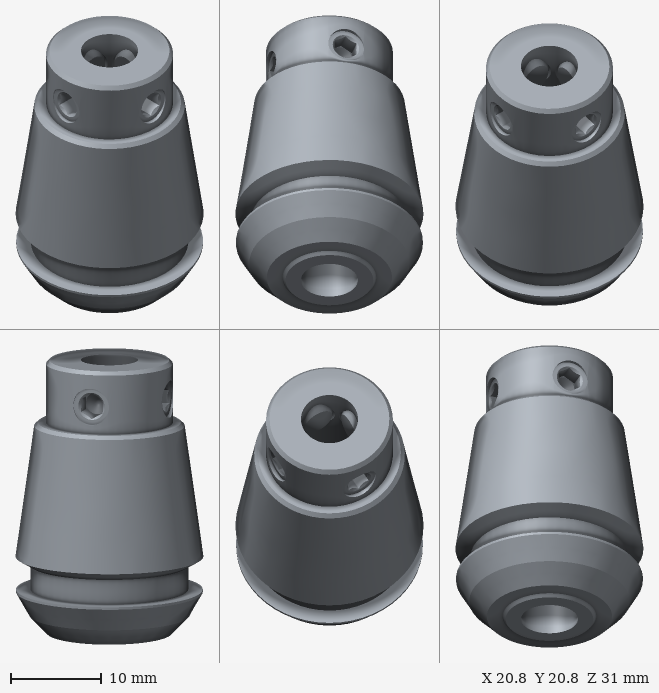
import cadquery as cq
import math

height = 31.0
nose_height = 0.35
lower_bevel_top = 2.32
rim_bottom = 4.93
rim_top = 5.2
undercut_bottom = 7.97
skirt_bottom = 8.93
shoulder_level = 24.0

nose_base_diameter = 9.67
nose_root_diameter = 10.35
base_diameter = 13.83
bevel_diameter = 17.67
rim_diameter = 20.6
groove_diameter = 17.4
skirt_diameter = 20.75
shoulder_diameter = 16.62
neck_diameter = 14.0
bore_diameter = 6.3

shoulder_chamfer_width = 0.43
shoulder_chamfer_height = 0.37
neck_chamfer = 0.4

screw_count = 4
screw_level = 27.0
screw_hole_diameter = 4.12
screw_diameter = 5.0
screw_face_radius = 6.57
screw_tip_radius = 2.48
screw_tip_diameter = 3.5

socket_flats = 2.5
socket_mouth_diameter = 3.05
socket_depth = 2.0
socket_cone_height = 0.7


def turned_body():
    """Solid of revolution carrying every outer step, groove and bevel."""
    outline = [
        (0, 0),
        (nose_base_diameter / 2, 0),
        (nose_root_diameter / 2, nose_height),
        (base_diameter / 2, nose_height),
        (bevel_diameter / 2, lower_bevel_top),
        (rim_diameter / 2, rim_bottom),
        (rim_diameter / 2, rim_top),
        (groove_diameter / 2, rim_top),
        (groove_diameter / 2, undercut_bottom),
        (skirt_diameter / 2, skirt_bottom),
        (shoulder_diameter / 2, shoulder_level - shoulder_chamfer_height),
        (shoulder_diameter / 2 - shoulder_chamfer_width, shoulder_level),
        (neck_diameter / 2, shoulder_level),
        (neck_diameter / 2, height - neck_chamfer),
        (neck_diameter / 2 - neck_chamfer, height),
        (0, height),
    ]
    return cq.Workplane("XZ").polyline(outline).close().revolve(360, (0, 0, 0), (0, 1, 0))


def across_bore(radius):
    """Workplane facing +X at the given distance from the axis, centred on a screw."""
    return cq.Workplane("YZ", origin=(radius, 0, screw_level))


def screw_hole():
    """Plain radial hole from the axis out through the neck wall, on the +X side."""
    return across_bore(0).circle(screw_hole_diameter / 2).extrude(neck_diameter / 2)


def cone(outer_radius, outer_diameter, depth, inner_diameter):
    """Radial cone on the +X side, narrowing inwards from outer_radius."""
    solid = cq.Solid.makeCone(
        outer_diameter / 2,
        inner_diameter / 2,
        depth,
        cq.Vector(outer_radius, 0, screw_level),
        cq.Vector(-1, 0, 0),
    )
    return cq.Workplane(obj=solid)


def set_screw():
    """Set screw on the +X side, chamfered at its tip, with a hexagonal socket in its outer face."""
    length = screw_face_radius - screw_tip_radius
    screw = across_bore(screw_tip_radius).circle(screw_diameter / 2).extrude(length)
    screw = screw.faces("<X").chamfer((screw_diameter - screw_tip_diameter) / 2)
    screw = screw.faces(">X").chamfer((screw_diameter - screw_hole_diameter) / 2)

    corner_diameter = socket_flats / math.cos(math.pi / 6)
    floor_radius = screw_face_radius - socket_depth
    socket = (
        across_bore(floor_radius)
        .transformed(rotate=(0, 0, 30))
        .polygon(6, corner_diameter)
        .extrude(socket_depth)
    )
    mouth_depth = (socket_mouth_diameter - socket_flats) / 2
    mouth = cone(screw_face_radius, socket_mouth_diameter, mouth_depth, socket_flats)
    drill_point = cone(floor_radius, socket_flats, socket_cone_height, 0)
    return screw.cut(socket).cut(mouth).cut(drill_point)


def around_axis(shape):
    """The +X shape repeated at every screw position."""
    step = 360 / screw_count
    return [shape.rotate((0, 0, 0), (0, 0, 1), i * step) for i in range(screw_count)]


bore = cq.Workplane("XY").circle(bore_diameter / 2).extrude(height)
result = turned_body().cut(bore)

for hole in around_axis(screw_hole()):
    result = result.cut(hole)

for screw in around_axis(set_screw()):
    result = result.union(screw)